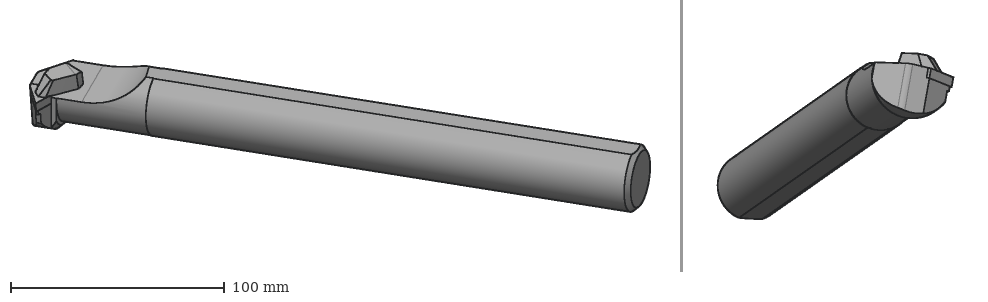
import cadquery as cq
import math


total_length = 300.0
shank_start = 60.0
shank_diameter = 32.0
neck_diameter = 31.8
flat_height = 15.0
end_chamfer = 2.5

head_radius = 19.0
head_center_y = -3.0
head_center_z = 0.3
head_length = 13.2
head_end = 15.5

tilt = math.radians(10)
rake_height = 4.8
scoop_start = 28.0
scoop_radius = 42.0

insert_inscribed_diameter = 9.5
insert_thickness = 4.8
insert_tip_u = 7.5
insert_tip_v = -22.5
insert_height = 1.5 * insert_inscribed_diameter
flank_steepness = math.tan(math.radians(60))
insert_half_base = insert_height / flank_steepness
insert_base_v = insert_tip_v + insert_height

back_bevel_v = 1.5
bevel_round = 4.5
nose_half_width = 0.5
nose_step_depth = 7.2
nose_step_half_width = 1.2
flank_end_u = 13.0
flank_end_v = insert_tip_v + (flank_end_u - insert_tip_u) * flank_steepness
head_side_y = -neck_diameter / 2

clamp_height = 7.5
clamp_foot = [
    (13.8, 3.5), (5.5, -6.5), (4.2, -13.8), (7.0, -17.0), (10.5, -16.8), (23.0, -6.3), (24.0, -2.0),
]
clamp_top = [
    (14.5, 2.5), (8.0, -4.0), (7.5, -8.5), (12.0, -12.5), (13.2, -12.5), (22.2, -5.5), (23.7, -2.0),
]
clamp_round_start = 11.5
clamp_round_radius = 10.5

arc_middle = math.radians(45)
oversize = 90.0

rake_plane = cq.Plane(
    origin=(0, 0, rake_height), xDir=(1, 0, 0), normal=(0, -math.sin(tilt), math.cos(tilt))
)


def bar():
    """Round shank with two flats and the neck in front of it."""
    shank = (
        cq.Workplane("YZ", origin=(shank_start, 0, 0))
        .circle(shank_diameter / 2)
        .extrude(total_length - shank_start)
        .faces(">X")
        .chamfer(end_chamfer)
    )
    neck = (
        cq.Workplane("YZ", origin=(head_length, 0, 0))
        .circle(neck_diameter / 2)
        .extrude(shank_start - head_length)
    )
    top_space = cq.Workplane("XY", origin=(0, 0, flat_height)).box(
        2 * total_length, oversize, oversize, centered=(True, True, False)
    )
    bottom_space = cq.Workplane("XY", origin=(shank_start, 0, -flat_height - oversize)).box(
        total_length, oversize, oversize, centered=(False, True, False)
    )
    return shank.cut(bottom_space).union(neck).cut(top_space)


def head():
    """Eccentric head tapering into the neck, trimmed by the prism of its side faces."""
    blank = (
        cq.Workplane("YZ", origin=(0, head_center_y, head_center_z))
        .circle(head_radius)
        .extrude(head_end)
        .faces(">X")
        .chamfer(head_end - head_length)
    )
    side_space = cq.Workplane("XY", origin=(flank_end_u, head_side_y - oversize, 0)).box(
        oversize, oversize, oversize, centered=(False, False, True)
    )
    return blank.intersect(side_face_prism()).cut(side_space).cut(nose_step())


def scoop():
    """Space above the rake face, rising along an arc into the neck."""
    side_plane = cq.Plane(
        origin=rake_plane.origin + rake_plane.yDir * oversize,
        xDir=(1, 0, 0),
        normal=-rake_plane.yDir,
    )
    return (
        cq.Workplane(side_plane)
        .moveTo(-oversize, 0)
        .lineTo(scoop_start, 0)
        .threePointArc(
            (
                scoop_start + scoop_radius * math.sin(arc_middle),
                scoop_radius * (1 - math.cos(arc_middle)),
            ),
            (scoop_start + scoop_radius, scoop_radius),
        )
        .lineTo(-oversize, scoop_radius)
        .close()
        .extrude(2 * oversize)
    )


def side_face_prism():
    """Prism square to the rake face: bevel, rounded corner, front face, nose and insert flanks."""
    nose_v = insert_tip_v + nose_half_width * flank_steepness
    left_v = insert_tip_v + insert_tip_u * flank_steepness
    return (
        cq.Workplane(rake_plane)
        .polyline([
            (0, back_bevel_v),
            (0, left_v),
            (insert_tip_u - nose_half_width, nose_v),
            (insert_tip_u + nose_half_width, nose_v),
            (flank_end_u, flank_end_v),
            (flank_end_u, -oversize),
            (oversize, -oversize),
            (oversize, back_bevel_v + oversize),
        ])
        .close()
        .extrude(oversize, both=True)
        .edges(cq.selectors.NearestToPointSelector(
            rake_plane.toWorldCoords((0, back_bevel_v, 0)).toTuple()
        ))
        .fillet(bevel_round)
    )


def nose_step():
    """Space in front of the lower part of the nose."""
    return (
        cq.Workplane(rake_plane)
        .workplane(offset=-nose_step_depth)
        .center(insert_tip_u, insert_tip_v)
        .rect(oversize, 2 * nose_step_half_width * flank_steepness)
        .extrude(-oversize)
    )


def insert_prism():
    """Triangle with its two far corners cut square, flush with the rake face."""
    corner_cut = insert_half_base - insert_tip_u
    cut_v = insert_base_v - corner_cut * flank_steepness
    return (
        cq.Workplane(rake_plane)
        .polyline([
            (insert_tip_u, insert_tip_v),
            (2 * insert_tip_u, cut_v),
            (2 * insert_tip_u, insert_base_v),
            (0, insert_base_v),
            (0, cut_v),
        ])
        .close()
        .extrude(-insert_thickness)
    )


def clamp_finger():
    """Tapered finger standing on the rake face, rounded off along its back top edge."""
    finger = (
        cq.Workplane(rake_plane)
        .polyline(clamp_foot)
        .close()
        .workplane(offset=clamp_height)
        .polyline(clamp_top)
        .close()
        .loft(ruled=True)
    )
    along = (rake_plane.xDir + rake_plane.yDir).normalized()
    across = rake_plane.zDir.cross(along)
    profile_plane = cq.Plane(
        origin=rake_plane.origin + across * oversize, xDir=along, normal=-across
    )
    back_round = (
        cq.Workplane(profile_plane)
        .moveTo(clamp_round_start, clamp_height)
        .threePointArc(
            (
                clamp_round_start + clamp_round_radius * math.sin(arc_middle),
                clamp_height - clamp_round_radius * (1 - math.cos(arc_middle)),
            ),
            (clamp_round_start + clamp_round_radius, clamp_height - clamp_round_radius),
        )
        .lineTo(clamp_round_start + clamp_round_radius, clamp_height)
        .close()
        .extrude(2 * oversize)
    )
    return finger.cut(back_round)


insert = insert_prism()
holder = bar().union(head()).cut(scoop()).cut(insert).union(clamp_finger())
result = cq.Compound.makeCompound([holder.val(), insert.val()])